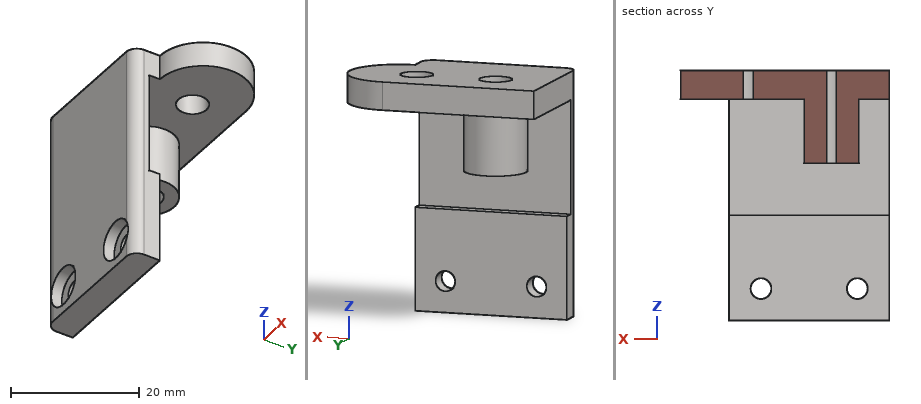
import cadquery as cq

height = 39.0
plate_width = 25.0
plate_thickness = 3.0
pad_thickness = 5.0
pad_height = 16.4
corner_radius = 2.0
flange_thickness = 4.5
flange_depth = 16.0

hole_diameter = 5.2
boss_hole_x = 9.0
end_hole_x = 22.0
boss_diameter = 10.0
boss_length = 10.0

screw_diameter = 3.2
counterbore_diameter = 7.0
counterbore_depth = 2.0
screw_inset = 5.0

end_radius = flange_depth / 2
flange_center_y = pad_thickness + end_radius
flange_bottom = height - flange_thickness
screw_positions = (screw_inset, plate_width - screw_inset)


def block(depth, bottom, block_height):
    """Full-width block starting at the front face."""
    return cq.Workplane("XY", origin=(0, 0, bottom)).box(
        plate_width, depth, block_height, centered=False
    )


def upright():
    """Front plate with its thick lower pad and rounded front corners."""
    plate = block(plate_thickness, 0, height)
    pad = block(pad_thickness, 0, pad_height)
    root = block(pad_thickness, flange_bottom, flange_thickness)
    return plate.union(pad).union(root).edges("|Z and <Y").fillet(corner_radius)


def flange():
    """Top flange with a half-round end and a boss underneath."""
    rear = pad_thickness + flange_depth
    body = (
        cq.Workplane("XY", origin=(0, 0, flange_bottom))
        .moveTo(0, pad_thickness)
        .lineTo(plate_width, pad_thickness)
        .threePointArc((plate_width + end_radius, flange_center_y), (plate_width, rear))
        .lineTo(0, rear)
        .close()
        .extrude(flange_thickness)
    )
    boss = (
        cq.Workplane("XY", origin=(boss_hole_x, flange_center_y, flange_bottom))
        .circle(boss_diameter / 2)
        .extrude(-boss_length)
    )
    return body.union(boss)


def flange_holes():
    """Vertical through holes, one of them along the boss axis."""
    return (
        cq.Workplane("XY")
        .pushPoints([(x, flange_center_y) for x in (boss_hole_x, end_hole_x)])
        .circle(hole_diameter / 2)
        .extrude(height)
    )


def screw_holes():
    """Screw holes through the pad, counterbored from the front."""
    points = [(x, screw_inset) for x in screw_positions]
    front = cq.Workplane("XZ").pushPoints(points)
    through = front.circle(screw_diameter / 2).extrude(-pad_thickness)
    counterbores = front.circle(counterbore_diameter / 2).extrude(-counterbore_depth)
    return through.union(counterbores)


result = upright().union(flange()).cut(flange_holes()).cut(screw_holes())